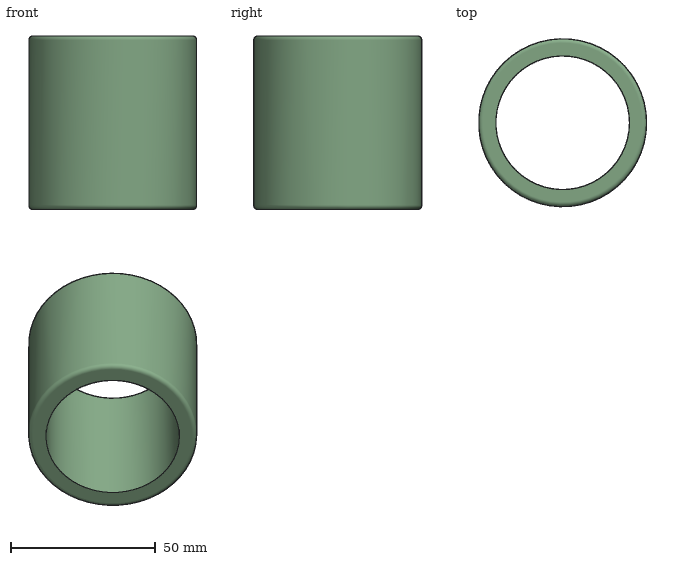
import cadquery as cq

OUTER_DIAMETER = 58.0
BORE_DIAMETER = 46.0
LENGTH = 60.0
EDGE_RADIUS = 1.5


def make_sleeve():
    """Plain cylindrical sleeve standing on the XY plane, bored along Z."""
    return (
        cq.Workplane("XY")
        .circle(OUTER_DIAMETER / 2)
        .circle(BORE_DIAMETER / 2)
        .extrude(LENGTH)
    )


def round_outer_edges(sleeve):
    """Round the outer rim at both ends, leaving the bore edges sharp."""
    outer_rims = cq.selectors.RadiusNthSelector(-1)
    return sleeve.edges("%CIRCLE").edges(outer_rims).fillet(EDGE_RADIUS)


result = round_outer_edges(make_sleeve())